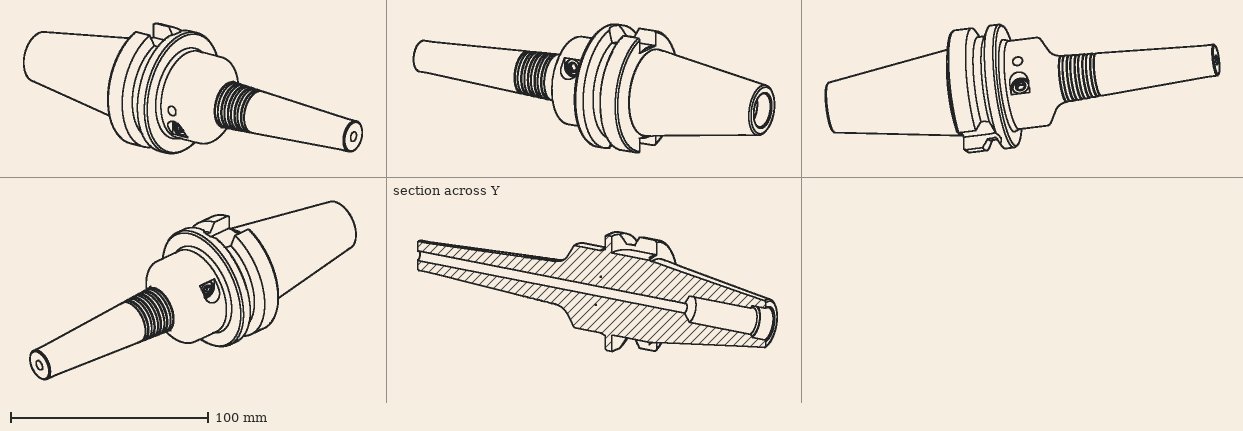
import cadquery as cq
import math

length = 200.5

gauge_x = 65.3
gauge_radius = 22.2
taper_slope = 7 / 48
shank_chamfer = 0.8
neck_radius = 22.0
neck_fillet = 1.6

flange_start_x = 67.3
flange_end_x = 92.5
flange_radius = 31.5
rear_land_end_x = 77.2
rear_land_radius = 31.3
rear_chamfer_length = 1.0
rear_chamfer_depth = 0.8
front_land_start_x = 87.0
front_chamfer_length = 1.2
front_chamfer_depth = 0.8
groove_radius = 26.5
groove_wall_angle = 60

barrel_radius = 45.0 / 2
barrel_root_length = 2.6
barrel_root_rise = 1.0
barrel_edge_fillet = 1.5
shoulder_angle = 60
blend_radius = 8.0
blend_end_x = 120.8

nose_angle = 3
tip_start_x = 194.8
tip_radius = 8.0
tip_chamfer = 0.6
ring_count = 5
ring_first_x = 121.0
ring_pitch = 4.0
ring_width = 2.2
ring_depth = 0.2
ring_wall = 0.5

mouth_radius = 18.2 / 2
counterbore_radius = 17.0 / 2
counterbore_depth = 8.0
thread_radius = 8.0
bore_radius = 7.0
bore_depth = 44.0
coolant_radius = 5.0 / 2
drill_point_angle = 59

keyway_width = 16.0
keyway_floor = 22.5
keyway_end_x = 88.5

screw_x = 102.2
screw_offset = 11.8
pocket_width = 9.6
pocket_floor = 15.6
screw_radius = 4.2
screw_face_radius = 2.6
screw_chamfer = 1.2
socket_size = 4.6
socket_depth = 2.0
side_hole_radius = 5.0 / 2
side_hole_z = -1.0
side_hole_depth = 8.0
side_bore_radius = 3.0 / 2
side_bore_depth = 12.0


def sine(degrees):
    return math.sin(math.radians(degrees))


def cosine(degrees):
    return math.cos(math.radians(degrees))


def tangent(degrees):
    return math.tan(math.radians(degrees))


def nose_radius(x):
    return tip_radius + (tip_start_x - x) * tangent(nose_angle)


def on_arc(center, radius, degrees):
    return (center[0] + radius * cosine(degrees), center[1] + radius * sine(degrees))


def add_arc(profile, center, radius, start, end):
    """Draw a line to the arc's start angle, then the arc to its end angle."""
    return profile.lineTo(*on_arc(center, radius, start)).threePointArc(
        on_arc(center, radius, (start + end) / 2), on_arc(center, radius, end)
    )


def revolve_about_x(profile):
    return profile.close().revolve(360, (0, 0, 0), (1, 0, 0))


def turned_body():
    shank_end_radius = gauge_radius - gauge_x * taper_slope
    groove_start_x = rear_land_end_x + (rear_land_radius - groove_radius) / tangent(groove_wall_angle)
    groove_end_x = front_land_start_x - (flange_radius - groove_radius) / tangent(groove_wall_angle)

    profile = cq.Workplane("XY").moveTo(0, 0).lineTo(0, shank_end_radius - shank_chamfer)
    profile = profile.lineTo(shank_chamfer, shank_end_radius + shank_chamfer * taper_slope)
    profile = profile.lineTo(gauge_x, gauge_radius)
    neck_center = (flange_start_x - neck_fillet, neck_radius + neck_fillet)
    profile = add_arc(profile, neck_center, neck_fillet, -90, 0)

    profile = profile.lineTo(flange_start_x, rear_land_radius - rear_chamfer_depth)
    profile = profile.lineTo(flange_start_x + rear_chamfer_length, rear_land_radius)
    profile = profile.lineTo(rear_land_end_x, rear_land_radius)
    profile = profile.lineTo(groove_start_x, groove_radius)
    profile = profile.lineTo(groove_end_x, groove_radius)
    profile = profile.lineTo(front_land_start_x, flange_radius)
    profile = profile.lineTo(flange_end_x - front_chamfer_length, flange_radius)
    profile = profile.lineTo(flange_end_x, flange_radius - front_chamfer_depth)
    profile = profile.lineTo(flange_end_x, barrel_radius + barrel_root_rise)
    profile = profile.lineTo(flange_end_x + barrel_root_length, barrel_radius)

    blend_center = (
        blend_end_x + blend_radius * sine(nose_angle),
        nose_radius(blend_end_x) + blend_radius * cosine(nose_angle),
    )
    cone_start, cone_end = 90 - shoulder_angle, 270 - shoulder_angle
    cone_end_x, cone_end_radius = on_arc(blend_center, blend_radius, cone_end)
    edge_center_radius = barrel_radius - barrel_edge_fillet
    cone_drop = edge_center_radius + barrel_edge_fillet * sine(cone_start) - cone_end_radius
    cone_start_x = cone_end_x - cone_drop / tangent(shoulder_angle)
    edge_center = (cone_start_x - barrel_edge_fillet * cosine(cone_start), edge_center_radius)
    profile = add_arc(profile, edge_center, barrel_edge_fillet, 90, cone_start)
    profile = add_arc(profile, blend_center, blend_radius, cone_end, 270 - nose_angle)

    profile = profile.lineTo(tip_start_x, tip_radius)
    profile = profile.lineTo(length - tip_chamfer, tip_radius)
    profile = profile.lineTo(length, tip_radius - tip_chamfer).lineTo(length, 0)
    return revolve_about_x(profile)


def ring_groove(index):
    start_x = ring_first_x + index * ring_pitch
    end_x = start_x + ring_width
    profile = cq.Workplane("XY").moveTo(start_x, nose_radius(start_x))
    profile = profile.lineTo(start_x + ring_wall, nose_radius(start_x + ring_wall) - ring_depth)
    profile = profile.lineTo(end_x - ring_wall, nose_radius(end_x - ring_wall) - ring_depth)
    profile = profile.lineTo(end_x, nose_radius(end_x))
    profile = profile.lineTo(end_x, nose_radius(start_x) + ring_depth)
    profile = profile.lineTo(start_x, nose_radius(start_x) + ring_depth)
    return revolve_about_x(profile)


def axial_bore():
    mouth_chamfer = mouth_radius - counterbore_radius
    thread_chamfer = thread_radius - bore_radius
    point_length = (bore_radius - coolant_radius) / tangent(drill_point_angle)
    profile = cq.Workplane("XY").moveTo(0, 0).lineTo(0, mouth_radius)
    profile = profile.lineTo(mouth_chamfer, counterbore_radius)
    profile = profile.lineTo(counterbore_depth, counterbore_radius)
    profile = profile.lineTo(counterbore_depth, thread_radius)
    profile = profile.lineTo(counterbore_depth + thread_chamfer, bore_radius)
    profile = profile.lineTo(bore_depth, bore_radius)
    profile = profile.lineTo(bore_depth + point_length, coolant_radius)
    profile = profile.lineTo(length, coolant_radius).lineTo(length, 0)
    return revolve_about_x(profile)


def keyway():
    """Round-ended slot in the +Z side, open towards the shank."""
    end_radius = keyway_width / 2
    slot_length = keyway_end_x - flange_start_x
    depth = flange_radius - keyway_floor
    plane = cq.Workplane("XY", origin=(flange_start_x, 0, keyway_floor))
    straight_length = slot_length - end_radius
    slot = plane.moveTo(0, -end_radius).lineTo(straight_length, -end_radius)
    slot = slot.threePointArc((slot_length, 0), (straight_length, end_radius))
    return slot.lineTo(0, end_radius).close().extrude(depth)


def drill_point(x, y, z, radius):
    """Cone that closes a hole drilled in the +Y direction."""
    point_length = radius / tangent(drill_point_angle)
    cone = cq.Solid.makeCone(radius, 0, point_length, cq.Vector(x, y, z), cq.Vector(0, 1, 0))
    return cq.Workplane(cone)


def screw_pocket():
    """Pocket in the -Y side below the axis, with a flush socket screw in its floor."""
    floor = cq.Workplane("XZ", origin=(screw_x, -pocket_floor, -screw_offset))
    half_width = pocket_width / 2
    depth = barrel_radius - pocket_floor
    pocket = floor.moveTo(-half_width, 0).threePointArc((0, half_width), (half_width, 0))
    pocket = pocket.lineTo(half_width, -screw_offset).lineTo(-half_width, -screw_offset)
    pocket = pocket.close().extrude(depth)

    rim = floor.circle(screw_radius).extrude(-screw_chamfer)
    rim_cone = cq.Solid.makeCone(
        screw_radius,
        screw_face_radius,
        screw_chamfer,
        cq.Vector(screw_x, screw_chamfer - pocket_floor, -screw_offset),
        cq.Vector(0, -1, 0),
    )
    socket = floor.polygon(6, socket_size).extrude(-socket_depth)
    socket_point = drill_point(screw_x, socket_depth - pocket_floor, -screw_offset, socket_size / 2)
    return pocket.union(rim.cut(cq.Workplane(rim_cone))).union(socket).union(socket_point)


def side_hole():
    """Stepped blind hole in the -Y side of the barrel."""
    mouth = cq.Workplane("XZ", origin=(screw_x, -barrel_radius, side_hole_z))
    hole = mouth.circle(side_hole_radius).extrude(-side_hole_depth)
    bore = mouth.circle(side_bore_radius).extrude(-side_bore_depth)
    point = drill_point(screw_x, side_bore_depth - barrel_radius, side_hole_z, side_bore_radius)
    return hole.union(bore).union(point)


result = turned_body().cut(axial_bore())
for ring_index in range(ring_count):
    result = result.cut(ring_groove(ring_index))
for half_turn in (0, 180):
    for cutter in (keyway(), screw_pocket()):
        result = result.cut(cutter.rotate((0, 0, 0), (1, 0, 0), half_turn))
result = result.cut(side_hole())